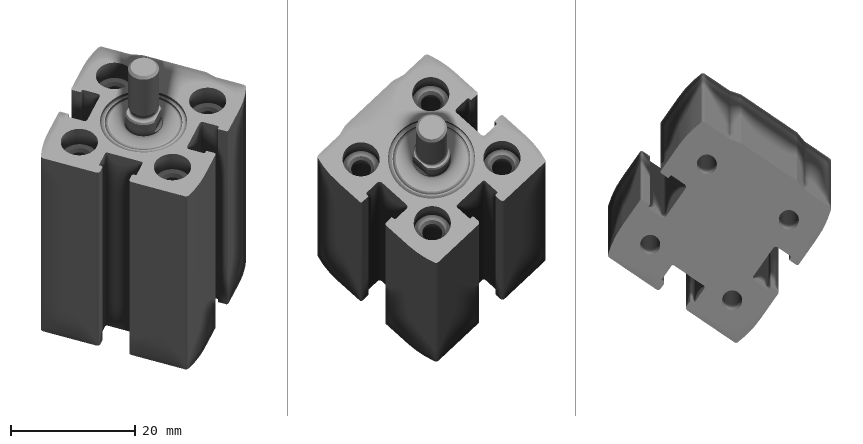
import cadquery as cq
import math


housing_height = 39.5
half_width = 27.0 / 2
half_depth_back = 27.5 - half_width
side_flat_half = 8.0
side_curve_radius = 16.65
corner_fillet = 0.5
pad_top_half = 5.45
pad_base_half = 7.35

side_slot_mouth = 5.25
side_slot_chamber = 6.55
side_slot_lip = 1.7
side_slot_floor = 8.6
side_mouth_fillet = 0.3
side_floor_fillet = 0.5
side_undercut_fillet = 0.25
front_slot_mouth = 5.05
front_slot_chamber = 6.45
front_slot_lip = 1.7
front_slot_floor = 8.65
front_mouth_fillet = 0.5
front_floor_fillet = 0.3
front_lip_fillet = 0.3

hole_pitch = 16.0
hole_diameter = 3.2
hole_countersink_diameter = 4.15
counterbore_diameter = 6.0
counterbore_depth = 3.5

cover_bore_diameter = 14.0
cover_lip_outer_radius = 6.4
cover_lip_inner_radius = 6.25
cover_lip_height = 0.3
cover_disc_radius = 5.7
cover_bevel_radius = 5.95
cover_bevel_drop = 0.1
cover_groove_drop = 0.25
cover_drop = 0.2
rod_hole_chamfer_size = 0.15

rod_top = 52.0
rod_diameter = 6.0
rod_depth = 12.5
rod_shoulder = housing_height + 2.5
rod_shoulder_chamfer_width = 0.2
rod_shoulder_chamfer_height = 0.3
across_flats = 5.0
flat_run_out_angle = 30
thread_diameter = 5.0
thread_tip_diameter = 4.15
neck_diameter = 3.9
neck_fillet = 0.3
neck_straight = 0.3


def z_edges(x, y):
    """Selector of the vertical edges at (+x, y) and (-x, y)."""
    reach = 0.005
    boxes = [
        cq.selectors.BoxSelector((sx - reach, y - reach, -0.5), (sx + reach, y + reach, housing_height + 0.5))
        for sx in (x, -x)
    ]
    return boxes[0] + boxes[1]


def housing_block():
    """Extruded outline with curved side ends, rounded corners and the raised back pad."""
    rise = half_width - side_flat_half
    angle = math.asin(rise / side_curve_radius)

    def side_curve_inset(swing):
        return side_curve_radius * (1 - math.cos(swing))

    corner_x = half_width - side_curve_inset(angle)
    middle_x = half_width - side_curve_inset(angle / 2)
    middle_y = side_flat_half + side_curve_radius * math.sin(angle / 2)
    block = (
        cq.Workplane("XY")
        .moveTo(half_width, -side_flat_half)
        .lineTo(half_width, side_flat_half)
        .threePointArc((middle_x, middle_y), (corner_x, half_width))
        .lineTo(pad_base_half, half_width)
        .lineTo(pad_top_half, half_depth_back)
        .lineTo(-pad_top_half, half_depth_back)
        .lineTo(-pad_base_half, half_width)
        .lineTo(-corner_x, half_width)
        .threePointArc((-middle_x, middle_y), (-half_width, side_flat_half))
        .lineTo(-half_width, -side_flat_half)
        .threePointArc((-middle_x, -middle_y), (-corner_x, -half_width))
        .lineTo(corner_x, -half_width)
        .threePointArc((middle_x, -middle_y), (half_width, -side_flat_half))
        .close()
        .extrude(housing_height)
    )
    for y in (half_width, -half_width):
        block = block.edges(z_edges(corner_x, y)).fillet(corner_fillet)
    return block


def t_slot(mouth, chamber, lip, floor):
    """T-slot cutter, open towards -Y."""
    lip_y = lip - half_width
    return (
        cq.Workplane("XY")
        .moveTo(-mouth / 2, -half_width)
        .lineTo(-mouth / 2, lip_y)
        .lineTo(-chamber / 2, lip_y)
        .lineTo(-chamber / 2, -floor)
        .lineTo(chamber / 2, -floor)
        .lineTo(chamber / 2, lip_y)
        .lineTo(mouth / 2, lip_y)
        .lineTo(mouth / 2, -half_width)
        .close()
        .extrude(housing_height)
    )


def cut_front_slot(block):
    block = block.cut(t_slot(front_slot_mouth, front_slot_chamber, front_slot_lip, front_slot_floor))
    lip_y = front_slot_lip - half_width
    block = block.edges(z_edges(front_slot_mouth / 2, -half_width)).fillet(front_mouth_fillet)
    block = block.edges(z_edges(front_slot_mouth / 2, lip_y)).fillet(front_lip_fillet)
    return block.edges(z_edges(front_slot_chamber / 2, -front_slot_floor)).fillet(front_floor_fillet)


def cut_side_slots(block):
    cutter = t_slot(side_slot_mouth, side_slot_chamber, side_slot_lip, side_slot_floor)
    lip_x = half_width - side_slot_lip
    for turn in (90, -90):
        block = block.cut(cutter.rotate((0, 0, 0), (0, 0, 1), turn))
    for side in (1, -1):
        mouth_y = side * side_slot_mouth / 2
        chamber_y = side * side_slot_chamber / 2
        block = block.edges(z_edges(half_width, mouth_y)).fillet(side_mouth_fillet)
        block = block.edges(z_edges(lip_x, chamber_y)).fillet(side_undercut_fillet)
        block = block.edges(z_edges(side_slot_floor, chamber_y)).fillet(side_floor_fillet)
    return block


def mounting_hole():
    """Cutter for a through hole with a counterbore and a 45-degree countersink at its floor."""
    floor_z = housing_height - counterbore_depth
    countersink_depth = (hole_countersink_diameter - hole_diameter) / 2
    return (
        cq.Workplane("XZ")
        .lineTo(hole_diameter / 2, 0)
        .lineTo(hole_diameter / 2, floor_z - countersink_depth)
        .lineTo(hole_countersink_diameter / 2, floor_z)
        .lineTo(counterbore_diameter / 2, floor_z)
        .lineTo(counterbore_diameter / 2, housing_height)
        .lineTo(0, housing_height)
        .close()
        .revolve(360, (0, 0), (0, 1))
    )


def cover_relief():
    """Cutter that leaves the conical lip and the bevelled disc of the rod cover inside the bore."""
    bore_radius = cover_bore_diameter / 2
    cover_z = housing_height - cover_drop
    bevel_z = cover_z - cover_bevel_drop
    groove_z = bevel_z - cover_groove_drop
    return (
        cq.Workplane("XZ")
        .moveTo(0, housing_height)
        .lineTo(0, cover_z)
        .lineTo(cover_disc_radius, cover_z)
        .lineTo(cover_bevel_radius, bevel_z)
        .lineTo(cover_lip_inner_radius, groove_z)
        .lineTo(cover_lip_inner_radius, cover_z)
        .lineTo(cover_lip_outer_radius, cover_z)
        .lineTo(bore_radius, cover_z - cover_lip_height)
        .lineTo(bore_radius, housing_height)
        .close()
        .revolve(360, (0, 0), (0, 1))
    )


def rod_hole_chamfer():
    """Cutter for the chamfer where the rod leaves the cover disc."""
    disc_z = housing_height - cover_drop
    hole_radius = rod_diameter / 2
    return (
        cq.Workplane("XZ")
        .moveTo(hole_radius, disc_z)
        .lineTo(hole_radius + rod_hole_chamfer_size, disc_z)
        .lineTo(hole_radius, disc_z - rod_hole_chamfer_size)
        .close()
        .revolve(360, (0, 0), (0, 1))
    )


def make_housing():
    housing = cut_side_slots(cut_front_slot(housing_block()))
    holes = cq.Workplane("XY").rect(hole_pitch, hole_pitch, forConstruction=True).vertices()
    housing = housing.cut(holes.eachpoint(lambda place: mounting_hole().val().moved(place)))
    housing = housing.cut(cover_relief())
    rod_hole = (
        cq.Workplane("XY", origin=(0, 0, housing_height - rod_depth))
        .circle(rod_diameter / 2)
        .extrude(rod_depth)
    )
    return housing.cut(rod_hole).cut(rod_hole_chamfer())


def rod_flat():
    """Cutter for the wrench flat on the +X side; its lower end slopes outwards."""
    flat_x = across_flats / 2
    run_out = rod_diameter - flat_x
    return (
        cq.Workplane("XZ")
        .moveTo(flat_x, rod_shoulder)
        .lineTo(flat_x, housing_height)
        .lineTo(flat_x + run_out, housing_height - run_out * math.tan(math.radians(flat_run_out_angle)))
        .lineTo(flat_x + run_out, rod_shoulder)
        .close()
        .extrude(rod_diameter / 2, both=True)
    )


def make_rod():
    rod_radius = rod_diameter / 2
    thread_radius = thread_diameter / 2
    tip_radius = thread_tip_diameter / 2
    neck_radius = neck_diameter / 2
    tip_chamfer = thread_radius - tip_radius
    neck_bottom = rod_shoulder + neck_fillet
    neck_top = neck_bottom + neck_straight

    arc_45 = math.radians(45)

    def fillet_spread(swing):
        return neck_radius + neck_fillet * (1 - math.cos(swing))

    def fillet_climb(swing):
        return neck_fillet * math.sin(swing)

    cone_radius = fillet_spread(arc_45)
    cone_z = neck_top + fillet_climb(arc_45)
    upper_middle = (fillet_spread(arc_45 / 2), neck_top + fillet_climb(arc_45 / 2))
    lower_middle = (fillet_spread(arc_45), neck_bottom - fillet_climb(arc_45))
    rod = (
        cq.Workplane("XZ")
        .moveTo(0, housing_height - rod_depth)
        .lineTo(rod_radius, housing_height - rod_depth)
        .lineTo(rod_radius, rod_shoulder - rod_shoulder_chamfer_height)
        .lineTo(rod_radius - rod_shoulder_chamfer_width, rod_shoulder)
        .lineTo(neck_radius + neck_fillet, rod_shoulder)
        .threePointArc(lower_middle, (neck_radius, neck_bottom))
        .lineTo(neck_radius, neck_top)
        .threePointArc(upper_middle, (cone_radius, cone_z))
        .lineTo(thread_radius, cone_z + thread_radius - cone_radius)
        .lineTo(thread_radius, rod_top - tip_chamfer)
        .lineTo(tip_radius, rod_top)
        .lineTo(0, rod_top)
        .close()
        .revolve(360, (0, 0), (0, 1))
    )
    for turn in (0, 180):
        rod = rod.cut(rod_flat().rotate((0, 0, 0), (0, 0, 1), turn))
    return rod


housing = make_housing()
rod = make_rod()
result = cq.Compound.makeCompound([housing.val(), rod.val()])